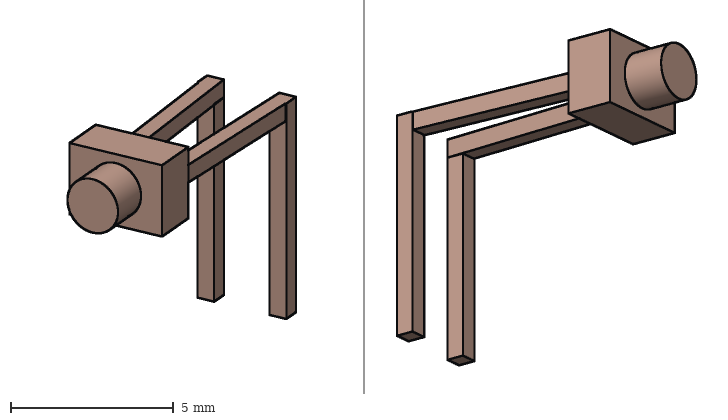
import cadquery as cq

total_length = 9.65
total_height = 8.15

body_width = 3.3
body_depth = 1.6
body_height = 2.4

lens_diameter = 1.8
lens_length = 1.4

lead_size = 0.6
lead_offset_at_body = 0.98
lead_offset_at_back = 1.28

back_y = total_length - lens_length
lead_bottom_z = body_height / 2 - total_height


def make_body():
    return cq.Workplane("XY").box(body_width, body_depth, body_height, centered=(True, False, True))


def make_lens():
    return cq.Workplane("XZ").circle(lens_diameter / 2).extrude(lens_length)


def make_lead(side):
    """One bent lead; side is -1 for left and +1 for right."""
    half = lead_size / 2
    body_x = side * lead_offset_at_body
    back_x = side * lead_offset_at_back
    arm = (
        cq.Workplane("XY")
        .workplane(offset=-half)
        .polyline([
            (body_x - half, body_depth),
            (body_x + half, body_depth),
            (back_x + half, back_y),
            (back_x - half, back_y),
        ])
        .close()
        .extrude(lead_size)
    )
    leg = (
        cq.Workplane("XY")
        .workplane(offset=lead_bottom_z)
        .center(back_x, back_y - half)
        .rect(lead_size, lead_size)
        .extrude(half - lead_bottom_z)
    )
    return arm.union(leg)


result = make_body().union(make_lens())
for side in (-1, 1):
    result = result.union(make_lead(side))